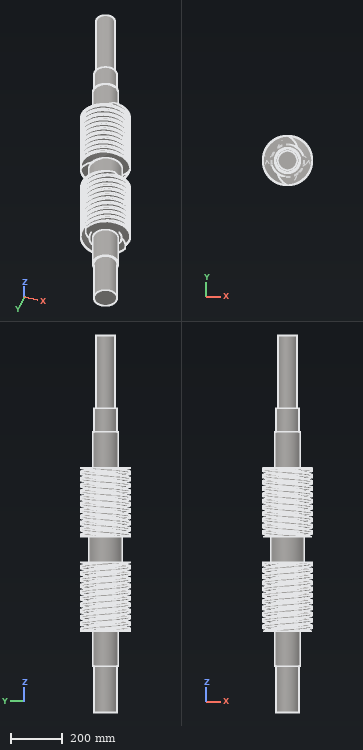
import cadquery as cq
import math

total_length = 1463.0
lower_journal_top = 180.0
lower_worm_base = 316.0
worm_length = 268.0
worm_gap = 98.0
upper_seat_top = 1089.0
upper_journal_top = 1181.0
upper_worm_base = lower_worm_base + worm_length + worm_gap
upper_worm_top = upper_worm_base + worm_length

drive_end_diameter = 75.0
journal_diameter = 90.0
seat_diameter = 100.0
middle_diameter = 130.0

worm_diameter = 193.0
root_diameter = 126.0
starts = 2
pitches_per_worm = 11
axial_pitch = worm_length / pitches_per_worm
lead = starts * axial_pitch
groove_mouth = 15.0
groove_floor = 5.0
groove_angle_at_top = 36.0
flank_spline_points = 8


def shaft_step(diameter, bottom, top):
    """Solid cylinder on the Z axis between two heights."""
    return cq.Workplane("XY").workplane(offset=bottom).circle(diameter / 2).extrude(top - bottom)


def worm_section():
    """Cross-section of the worm square to its axis, with one groove centred on +X.

    A straight axial flank becomes a spiral here: the angle from the groove centre
    grows evenly with the radius.
    """
    root_radius = root_diameter / 2
    outer_radius = worm_diameter / 2
    floor_angle = math.pi * groove_floor / lead
    mouth_angle = math.pi * groove_mouth / lead
    start_step = 2 * math.pi / starts

    def polar(radius, angle):
        return (radius * math.cos(angle), radius * math.sin(angle))

    def flank(centre, side, outwards):
        """Spiral edge on one side of a groove, run outwards or inwards."""

        def point(t):
            share = t if outwards else 1 - t
            radius = root_radius + share * (outer_radius - root_radius)
            half_angle = floor_angle + share * (mouth_angle - floor_angle)
            return polar(radius, centre + side * half_angle)

        return point

    section = cq.Workplane("XY").moveTo(*polar(root_radius, -floor_angle))
    for start in range(starts):
        centre = start * start_step
        section = (
            section.threePointArc(polar(root_radius, centre), polar(root_radius, centre + floor_angle))
            .parametricCurve(flank(centre, 1, True), N=flank_spline_points, makeWire=False)
            .moveTo(*polar(outer_radius, centre + mouth_angle))
            .threePointArc(
                polar(outer_radius, centre + start_step / 2),
                polar(outer_radius, centre + start_step - mouth_angle),
            )
            .parametricCurve(flank(centre + start_step, -1, False), N=flank_spline_points, makeWire=False)
            .moveTo(*polar(root_radius, centre + start_step - floor_angle))
        )
    return section.wire()


def worm(base, left_handed):
    """Worm made by twisting its cross-section along the Z axis."""
    hand = -1 if left_handed else 1
    twist = hand * 360 * worm_length / lead
    base_angle = -hand * groove_angle_at_top - twist
    body = worm_section().twistExtrude(worm_length, twist)
    return body.rotate((0, 0, 0), (0, 0, 1), base_angle).translate((0, 0, base))


lower_worm = worm(lower_worm_base, left_handed=False)
upper_worm = worm(upper_worm_base, left_handed=True)

result = (
    shaft_step(journal_diameter, 0, lower_journal_top)
    .union(shaft_step(seat_diameter, lower_journal_top, lower_worm_base))
    .union(lower_worm)
    .union(shaft_step(middle_diameter, lower_worm_base + worm_length, upper_worm_base))
    .union(upper_worm)
    .union(shaft_step(seat_diameter, upper_worm_top, upper_seat_top))
    .union(shaft_step(journal_diameter, upper_seat_top, upper_journal_top))
    .union(shaft_step(drive_end_diameter, upper_journal_top, total_length))
)